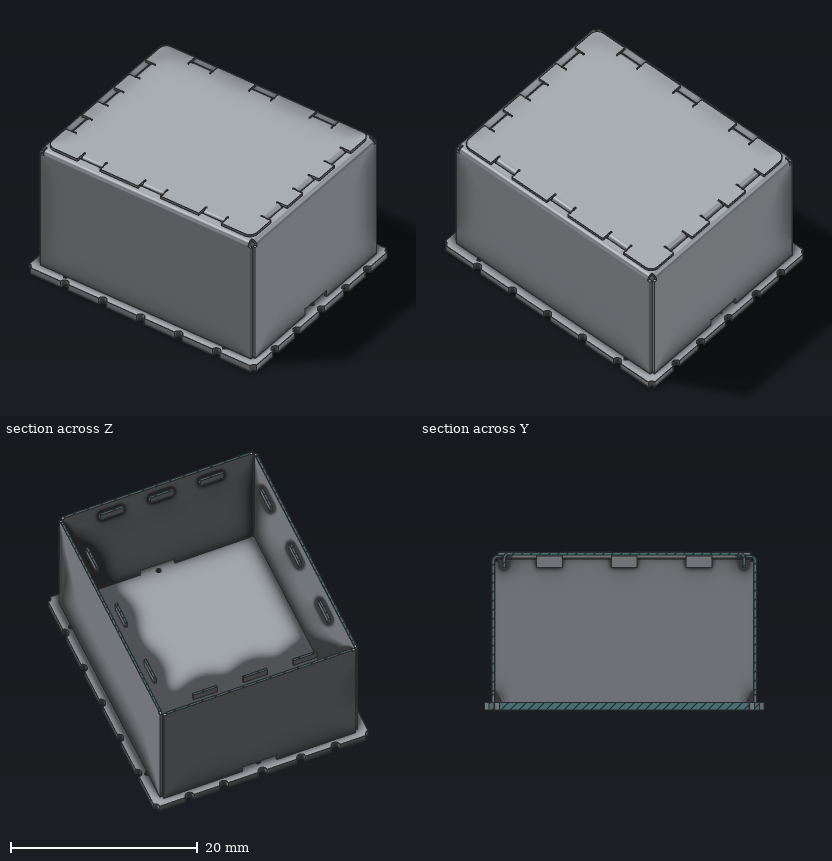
import cadquery as cq
BASE_X = 30.0
BASE_Y = 25.0
BASE_THICK = 0.8
CASTELLATION_DIA = 1.0
CASTELLATION_X = [-10.02, -5.0, 0, 5.0, 10.02]
CASTELLATION_Y = [-8.5, -4.5, 0, 4.5, 8.5]
HOLE_DIA = 0.5
CORNER_HOLE_X = 10.5
CORNER_HOLE_Y = 11.55
MIDDLE_HOLE_X = 13.68

TOTAL_HEIGHT = 16.92
SHEET = 0.3
FRAME_X = 28.4
FRAME_Y = 22.98
BEND_INNER = 0.35
BEND_OUTER = BEND_INNER + SHEET
CORNER_SETBACK = 0.33
BEND_SETBACK = 0.7
FLANGE_FLAT = 0.55
WINDOW_WIDTH = 4.0
WINDOW_HEIGHT = 0.8
LID_CORNER_RADIUS = 1.0

SLOT_WIDTH = 3.0
SLIT = 0.12
SLIT_OVERRUN = 0.15
SLOT_DEPTH = FLANGE_FLAT + BEND_OUTER + SLIT_OVERRUN
CLIP_LEG = 1.0
CLIP_PITCH_X = 8.0
CLIP_PITCH_Y = 5.82

FLANGE_TOP = TOTAL_HEIGHT - SHEET
BEND_START = FLANGE_TOP - BEND_OUTER
LID_X = FRAME_X - 2 * BEND_OUTER
LID_Y = FRAME_Y - 2 * BEND_OUTER

SIDES = [
    (0, FRAME_Y / 2, FRAME_X, CLIP_PITCH_X),
    (90, FRAME_X / 2, FRAME_Y, CLIP_PITCH_Y),
    (180, FRAME_Y / 2, FRAME_X, CLIP_PITCH_X),
    (270, FRAME_X / 2, FRAME_Y, CLIP_PITCH_Y),
]


def turned(shape, angle):
    return shape.rotate((0, 0, 0), (0, 0, 1), angle)


def centred_prism(profile, length):
    """Extrude a YZ profile equally to both sides of X = 0."""
    return profile.close().extrude(length / 2, both=True)


def bent_sheet(outer_y, foot_z, top_z, inner_y):
    """YZ profile of a sheet that rises at outer_y, bends over and runs flat to inner_y."""
    bend_y = outer_y + BEND_OUTER
    bend_z = top_z - BEND_OUTER
    diagonal = 0.5 ** 0.5
    return (
        cq.Workplane("YZ")
        .moveTo(outer_y, foot_z)
        .lineTo(outer_y, bend_z)
        .threePointArc(
            (bend_y - BEND_OUTER * diagonal, bend_z + BEND_OUTER * diagonal),
            (bend_y, top_z),
        )
        .lineTo(inner_y, top_z)
        .lineTo(inner_y, top_z - SHEET)
        .lineTo(bend_y, top_z - SHEET)
        .threePointArc(
            (bend_y - BEND_INNER * diagonal, bend_z + BEND_INNER * diagonal),
            (outer_y + SHEET, bend_z),
        )
        .lineTo(outer_y + SHEET, foot_z)
    )


def base_board():
    board = cq.Workplane("XY").box(BASE_X, BASE_Y, BASE_THICK, centered=(True, True, False))
    half_x = BASE_X / 2
    half_y = BASE_Y / 2
    castellations = [(x, side * half_y) for x in CASTELLATION_X for side in (-1, 1)]
    castellations += [(side * half_x, y) for y in CASTELLATION_Y for side in (-1, 1)]
    castellations += [(sx * half_x, sy * half_y) for sx in (-1, 1) for sy in (-1, 1)]
    holes = [(sx * CORNER_HOLE_X, sy * CORNER_HOLE_Y) for sx in (-1, 1) for sy in (-1, 1)]
    holes += [(-MIDDLE_HOLE_X, 0), (MIDDLE_HOLE_X, 0)]
    notch_cutters = cq.Workplane("XY").pushPoints(castellations).circle(CASTELLATION_DIA / 2)
    hole_cutters = cq.Workplane("XY").pushPoints(holes).circle(HOLE_DIA / 2)
    return board.cut(notch_cutters.extrude(BASE_THICK)).cut(hole_cutters.extrude(BASE_THICK))


def frame_side(half_depth, length):
    """Wall on the -Y side with its bend and flange; the bend stops short at both corners."""
    wall_length = length - 2 * CORNER_SETBACK
    bend_length = length - 2 * BEND_SETBACK
    flange_end = -half_depth + BEND_OUTER + FLANGE_FLAT
    wall = cq.Workplane("XY").box(
        wall_length, SHEET, BEND_START - BASE_THICK, centered=(True, False, False)
    )
    wall = wall.translate((0, -half_depth, BASE_THICK))
    profile = bent_sheet(-half_depth, BASE_THICK, FLANGE_TOP, flange_end)
    return wall.union(centred_prism(profile, bend_length))


def window_cutter():
    """Cable window through both X walls, resting on the board."""
    cutter = cq.Workplane("XY").box(
        FRAME_X, WINDOW_WIDTH, WINDOW_HEIGHT, centered=(True, True, False)
    )
    return cutter.translate((0, 0, BASE_THICK))


def slot_cutter(half_depth):
    """Slot in the lid on the -Y side, open at the lid edge."""
    slot = cq.Workplane("XY").box(SLOT_WIDTH, SLOT_DEPTH, SHEET, centered=(True, False, False))
    return slot.translate((0, -half_depth + BEND_OUTER, FLANGE_TOP))


def clip(half_depth):
    """Lid tab on the -Y side, bent down just inside the flange."""
    outer_y = -half_depth + BEND_OUTER + FLANGE_FLAT
    foot_z = TOTAL_HEIGHT - BEND_OUTER - CLIP_LEG
    root_y = outer_y + BEND_OUTER + SLIT_OVERRUN
    return centred_prism(bent_sheet(outer_y, foot_z, TOTAL_HEIGHT, root_y), SLOT_WIDTH - 2 * SLIT)


def lid():
    plate = cq.Workplane("XY").box(LID_X, LID_Y, SHEET, centered=(True, True, False))
    plate = plate.edges("|Z").fillet(LID_CORNER_RADIUS)
    plate = plate.translate((0, 0, FLANGE_TOP))
    for angle, half_depth, _, pitch in SIDES:
        for shift in (-pitch, 0, pitch):
            plate = plate.cut(turned(slot_cutter(half_depth).translate((shift, 0, 0)), angle))
            plate = plate.union(turned(clip(half_depth).translate((shift, 0, 0)), angle))
    return plate


frame = cq.Workplane("XY")
for angle, half_depth, length, _ in SIDES:
    frame = frame.union(turned(frame_side(half_depth, length), angle))
frame = frame.cut(window_cutter())

result = base_board().union(frame).union(lid())